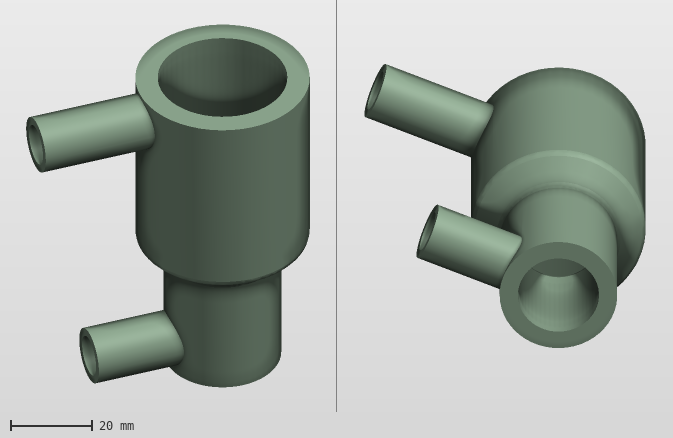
import cadquery as cq

total_height = 85
barrel_diameter = 43.0
barrel_bore = 32.0
neck_diameter = 29.0
neck_bore = 20.0
cone_bottom = 32.0
cone_top = 37.0
bend_radius = 2.0

pipe_diameter = 14.0
pipe_bore = 10.0
pipe_end_distance = 8.0
barrel_pipe_reach = 49.0
neck_pipe_reach = 35.0


def stepped_round(lower_diameter, upper_diameter):
    """Full-height solid of revolution with rounded bends at both ends of its cone."""
    lower_radius = lower_diameter / 2
    upper_radius = upper_diameter / 2
    profile = (
        cq.Workplane("XZ")
        .moveTo(0, 0)
        .lineTo(lower_radius, 0)
        .lineTo(lower_radius, cone_bottom)
        .lineTo(upper_radius, cone_top)
        .lineTo(upper_radius, total_height)
        .lineTo(0, total_height)
        .close()
    )
    solid = profile.revolve(360, (0, 0, 0), (0, 1, 0))
    bend_edges = cq.selectors.BoxSelector(
        (-upper_radius, -upper_radius, cone_bottom - bend_radius),
        (upper_radius, upper_radius, cone_top + bend_radius),
    )
    return solid.edges("%CIRCLE").edges(bend_edges).fillet(bend_radius)


def pipe_rod(diameter, reach, height):
    """Horizontal rod from the body axis out to -Y."""
    return cq.Workplane("XZ", origin=(0, 0, height)).circle(diameter / 2).extrude(reach)


def side_pipe(reach, height):
    """Tube whose bore runs in from its open end to the body axis."""
    return pipe_rod(pipe_diameter, reach, height).cut(pipe_rod(pipe_bore, reach, height))


outer_body = stepped_round(neck_diameter, barrel_diameter)
cavity = stepped_round(neck_bore, barrel_bore)

barrel_pipe = side_pipe(barrel_pipe_reach, total_height - pipe_end_distance)
neck_pipe = side_pipe(neck_pipe_reach, pipe_end_distance)
result = outer_body.union(barrel_pipe).union(neck_pipe).cut(cavity)